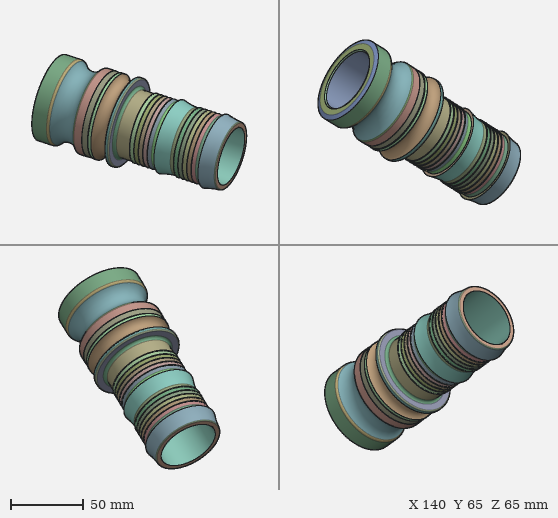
import cadquery as cq

length = 140.0

land_radius = 63.0 / 2
band_radius = 62.5 / 2
nose_flat_radius = 28.0
nose_bevel_length = 1.0
nose_land_end = 12.5
band_start = 39.8
band_end = 44.1
band_exit_length = 0.5

cam_front_lip_radius = 30.5
cam_rear_lip_radius = 31.0
cam_front_lip_round = 2.5
cam_rear_lip_round = 1.4
cam_start = 14.4
cam_end = 32.8
cam_rear_land_start = 33.7
cam_floor_radius = 26.0

relief_start = 46.9
relief_floor_x = 52.4
relief_floor_radius = 27.5

flange_radius = 65.0 / 2
flange_start = 58.2
flange_end = 61.3
flange_edge_round = 1.0
flange_root_fillet = 2.1

shank_radius = 49.5 / 2
group_starts = (73.8, 108.0)
ridge_count = 5
last_ridge_offset = 13.7
ridge_pitch = last_ridge_offset / (ridge_count - 1)
ridge_length = 3.1
ridge_radius = 25.6
barb_offset = 19.9
barb_length = 11.5
barb_radius = 27.0
barb_hollow = 0.35
barb_mid_radius = (barb_radius + shank_radius) / 2 - barb_hollow
tail_round = length - (group_starts[-1] + barb_offset + barb_length)

mouth_radius = 46.8 / 2
mouth_bevel_length = 1.0
front_bore_radius = 45.0 / 2
rear_bore_radius = 42.0 / 2
bore_taper_start = flange_start
bore_taper_end = flange_end


def add_ridge(profile, start):
    """Append one sawtooth ridge: a square front face and a tapered back."""
    return (
        profile.lineTo(start, shank_radius)
        .lineTo(start, ridge_radius)
        .lineTo(start + ridge_length, shank_radius)
    )


def add_barb(profile, start):
    """Append one large barb with a slightly hollow back."""
    return (
        profile.lineTo(start, shank_radius)
        .lineTo(start, barb_radius)
        .threePointArc(
            (start + barb_length / 2, barb_mid_radius),
            (start + barb_length, shank_radius),
        )
    )


def add_coupling(profile):
    """Append the nose, cam groove, recessed band and relief groove."""
    return (
        profile.lineTo(0, nose_flat_radius)
        .lineTo(nose_bevel_length, land_radius)
        .lineTo(nose_land_end, land_radius)
        .radiusArc((cam_start, cam_front_lip_radius), cam_front_lip_round)
        .threePointArc(
            ((cam_start + cam_end) / 2, cam_floor_radius),
            (cam_end, cam_rear_lip_radius),
        )
        .radiusArc((cam_rear_land_start, land_radius), cam_rear_lip_round)
        .lineTo(band_start, land_radius)
        .lineTo(band_start, band_radius)
        .lineTo(band_end, band_radius)
        .lineTo(band_end + band_exit_length, land_radius)
        .lineTo(relief_start, land_radius)
        .threePointArc(
            (relief_floor_x, relief_floor_radius),
            (flange_start, flange_radius),
        )
    )


def add_flange(profile):
    """Append the flange, its rounded rear edge and the fillet onto the shank."""
    return (
        profile.lineTo(flange_end - flange_edge_round, flange_radius)
        .radiusArc((flange_end, flange_radius - flange_edge_round), flange_edge_round)
        .lineTo(flange_end, shank_radius + flange_root_fillet)
        .radiusArc((flange_end + flange_root_fillet, shank_radius), -flange_root_fillet)
    )


def add_shank(profile):
    """Append both ridge and barb groups along the hose shank."""
    for group_start in group_starts:
        for index in range(ridge_count):
            profile = add_ridge(profile, group_start + index * ridge_pitch)
        profile = add_barb(profile, group_start + barb_offset)
    return profile


def add_tail(profile):
    """Append the rounded rear edge and the rear end face."""
    return (
        profile.radiusArc((length, shank_radius - tail_round), tail_round)
        .lineTo(length, rear_bore_radius)
    )


def add_bore(profile):
    """Append the bore from the rear end forward to the bevelled mouth."""
    return (
        profile.lineTo(bore_taper_end, rear_bore_radius)
        .lineTo(bore_taper_start, front_bore_radius)
        .lineTo(mouth_bevel_length, front_bore_radius)
        .lineTo(0, mouth_radius)
    )


section = cq.Workplane("XY").moveTo(0, mouth_radius)
for add_stretch in (add_coupling, add_flange, add_shank, add_tail, add_bore):
    section = add_stretch(section)

result = section.close().revolve(360, (0, 0, 0), (1, 0, 0))